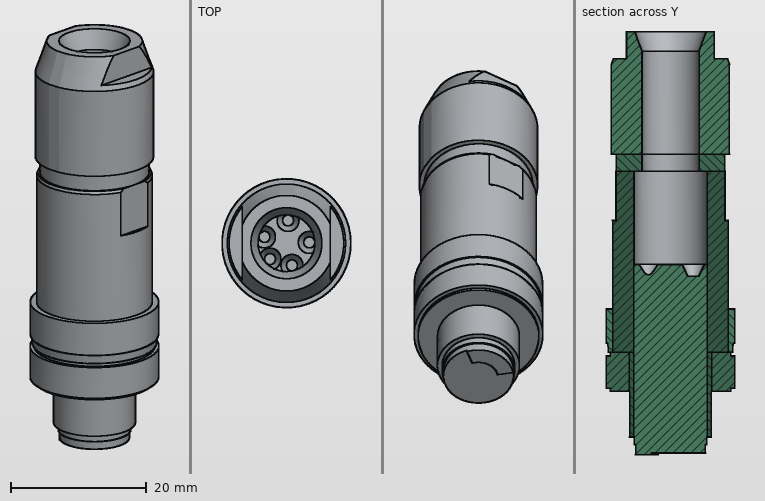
import cadquery as cq
import math


TIP_STEP_Z = 0.25
TIP_BAND_Z = 1.5
NOSE_BOTTOM_Z = 2.6
COUPLING_BOTTOM_Z = 9.35
COUPLING_COLLAR_HEIGHT = 0.45
COUPLING_SHOULDER_Z = 14.6
GRIP_RING_BOTTOM_Z = 15.1
GRIP_RING_GROOVE_Z = 16.45
GRIP_RING_TOP_Z = 21.5
INSERT_TOP_Z = 28.05
HOUSING_FLAT_Z = 34.5
HOUSING_TOP_Z = 41.75
NUT_BOTTOM_Z = 44.25
NUT_CONE_Z = 57.5
NUT_FLAT_Z = 58.35
TOP_Z = 62.3

OVERALL_DIAMETER = 19.0
COUPLING_RADIUS = OVERALL_DIAMETER / 2
COUPLING_COLLAR_RADIUS = 8.9
GRIP_RING_RADIUS = 9.5
GRIP_RING_GROOVE_RADIUS = 9.3
GRIP_RING_END_RADIUS = 9.15
HOUSING_RADIUS = 8.55
NECK_RADIUS = 8.05
NOSE_RADIUS = 6.05
INSERT_RADIUS = 5.35
TIP_RADIUS = 5.2
NUT_RADIUS = 8.7
NUT_TOP_RADIUS = 7.05
CABLE_BORE_RADIUS = 4.2
CABLE_MOUTH_RADIUS = 5.25
CABLE_MOUTH_DEPTH = 2.85

NUT_WRENCH_FLAT = 6.5
HOUSING_WRENCH_FLAT = 8.05
NUT_STRIP_WIDTH = 2.05
NUT_STRIP_TOP_WIDTH = 1.75
HOUSING_CHAMFER_WIDTH = 0.2
HOUSING_CHAMFER_HEIGHT = 0.45

FUNNEL_CIRCLE_RADIUS = 3.35
FUNNEL_ANGLES = (2, 86, 164, 224, 284)
FUNNEL_MOUTH_RADIUS = 1.6
FUNNEL_BOTTOM_RADIUS = 0.8
FUNNEL_DEPTH = 1.75
KEY_INNER_RADIUS = 2.8
KEY_HALF_ANGLE = 50
KEY_MID_ANGLE = 180


def revolved(profile):
    """Solid of revolution about Z from a list of (radius, z) corners."""
    return cq.Workplane("XZ").polyline(profile).close().revolve(360, (0, 0), (0, 1))


def tube(outer_radius, inner_radius, bottom_z, top_z):
    ring = cq.Workplane("XY").workplane(offset=bottom_z).circle(outer_radius).circle(inner_radius)
    return ring.extrude(top_z - bottom_z)


def cut_wrench_flats(body, flat_distance, bottom_z, top_z):
    """Remove everything beyond a pair of flats facing -X and +X."""
    depth = OVERALL_DIAMETER
    for side in (-1, 1):
        block = cq.Workplane("XY").box(depth, depth, top_z - bottom_z, centered=(True, True, False))
        body = body.cut(block.translate((side * (flat_distance + depth / 2), 0, bottom_z)))
    return body


def chord_distance(radius, chord):
    return math.sqrt(radius**2 - (chord / 2) ** 2)


def polar_point(radius, angle):
    return (radius * math.cos(math.radians(angle)), radius * math.sin(math.radians(angle)))


def make_gland_nut():
    nut = revolved([
        (CABLE_BORE_RADIUS, NUT_BOTTOM_Z),
        (NUT_RADIUS, NUT_BOTTOM_Z),
        (NUT_RADIUS, NUT_CONE_Z),
        (NUT_TOP_RADIUS, TOP_Z),
        (CABLE_MOUTH_RADIUS, TOP_Z),
        (CABLE_BORE_RADIUS, TOP_Z - CABLE_MOUTH_DEPTH),
    ])
    strip_y = chord_distance(NUT_RADIUS, NUT_STRIP_WIDTH)
    strip_top_y = chord_distance(NUT_TOP_RADIUS, NUT_STRIP_TOP_WIDTH)
    prism = (
        cq.Workplane("YZ")
        .polyline([
            (-strip_y, NUT_BOTTOM_Z),
            (strip_y, NUT_BOTTOM_Z),
            (strip_y, NUT_CONE_Z),
            (strip_top_y, TOP_Z),
            (-strip_top_y, TOP_Z),
            (-strip_y, NUT_CONE_Z),
        ])
        .close()
        .extrude(2 * NUT_RADIUS, both=True)
    )
    return cut_wrench_flats(nut.intersect(prism), NUT_WRENCH_FLAT, NUT_FLAT_Z, TOP_Z)


def make_neck_sleeve():
    return tube(NECK_RADIUS, CABLE_BORE_RADIUS, HOUSING_TOP_Z, NUT_BOTTOM_Z)


def make_housing():
    housing = revolved([
        (INSERT_RADIUS, GRIP_RING_BOTTOM_Z),
        (HOUSING_RADIUS, GRIP_RING_BOTTOM_Z),
        (HOUSING_RADIUS, HOUSING_TOP_Z - HOUSING_CHAMFER_HEIGHT),
        (HOUSING_RADIUS - HOUSING_CHAMFER_WIDTH, HOUSING_TOP_Z),
        (INSERT_RADIUS, HOUSING_TOP_Z),
    ])
    return cut_wrench_flats(housing, HOUSING_WRENCH_FLAT, HOUSING_FLAT_Z, HOUSING_TOP_Z)


def make_grip_ring():
    return revolved([
        (HOUSING_RADIUS, GRIP_RING_BOTTOM_Z),
        (GRIP_RING_END_RADIUS, GRIP_RING_BOTTOM_Z),
        (GRIP_RING_GROOVE_RADIUS, GRIP_RING_GROOVE_Z),
        (GRIP_RING_RADIUS, GRIP_RING_GROOVE_Z),
        (GRIP_RING_RADIUS, GRIP_RING_TOP_Z),
        (HOUSING_RADIUS, GRIP_RING_TOP_Z),
    ])


def make_coupling_ring():
    return revolved([
        (NOSE_RADIUS, COUPLING_BOTTOM_Z),
        (COUPLING_COLLAR_RADIUS, COUPLING_BOTTOM_Z),
        (COUPLING_COLLAR_RADIUS, COUPLING_BOTTOM_Z + COUPLING_COLLAR_HEIGHT),
        (COUPLING_RADIUS, COUPLING_BOTTOM_Z + COUPLING_COLLAR_HEIGHT),
        (COUPLING_RADIUS, COUPLING_SHOULDER_Z),
        (COUPLING_COLLAR_RADIUS, COUPLING_SHOULDER_Z),
        (COUPLING_COLLAR_RADIUS, GRIP_RING_BOTTOM_Z),
        (NOSE_RADIUS, GRIP_RING_BOTTOM_Z),
    ])


def make_nose_sleeve():
    return tube(NOSE_RADIUS, INSERT_RADIUS, NOSE_BOTTOM_Z, GRIP_RING_BOTTOM_Z)


def make_tip_key():
    """Arc-shaped key standing proud of the plug tip on the -X side."""
    start = KEY_MID_ANGLE - KEY_HALF_ANGLE
    end = KEY_MID_ANGLE + KEY_HALF_ANGLE
    return (
        cq.Workplane("XY")
        .moveTo(*polar_point(TIP_RADIUS, start))
        .threePointArc(polar_point(TIP_RADIUS, KEY_MID_ANGLE), polar_point(TIP_RADIUS, end))
        .lineTo(*polar_point(KEY_INNER_RADIUS, end))
        .threePointArc(polar_point(KEY_INNER_RADIUS, KEY_MID_ANGLE), polar_point(KEY_INNER_RADIUS, start))
        .close()
        .extrude(TIP_STEP_Z)
    )


def make_contact_insert():
    insert = revolved([
        (0, TIP_STEP_Z),
        (TIP_RADIUS, TIP_STEP_Z),
        (TIP_RADIUS, TIP_BAND_Z),
        (INSERT_RADIUS, TIP_BAND_Z),
        (INSERT_RADIUS, INSERT_TOP_Z),
        (0, INSERT_TOP_Z),
    ])
    insert = insert.union(make_tip_key())
    funnel = revolved([
        (0, INSERT_TOP_Z - FUNNEL_DEPTH),
        (FUNNEL_BOTTOM_RADIUS, INSERT_TOP_Z - FUNNEL_DEPTH),
        (FUNNEL_MOUTH_RADIUS, INSERT_TOP_Z),
        (0, INSERT_TOP_Z),
    ])
    for angle in FUNNEL_ANGLES:
        x, y = polar_point(FUNNEL_CIRCLE_RADIUS, angle)
        insert = insert.cut(funnel.translate((x, y, 0)))
    return insert


gland_nut = make_gland_nut()
neck_sleeve = make_neck_sleeve()
housing = make_housing()
grip_ring = make_grip_ring()
coupling_ring = make_coupling_ring()
nose_sleeve = make_nose_sleeve()
contact_insert = make_contact_insert()

result = cq.Compound.makeCompound([
    gland_nut.val(),
    neck_sleeve.val(),
    housing.val(),
    grip_ring.val(),
    coupling_ring.val(),
    nose_sleeve.val(),
    contact_insert.val(),
])